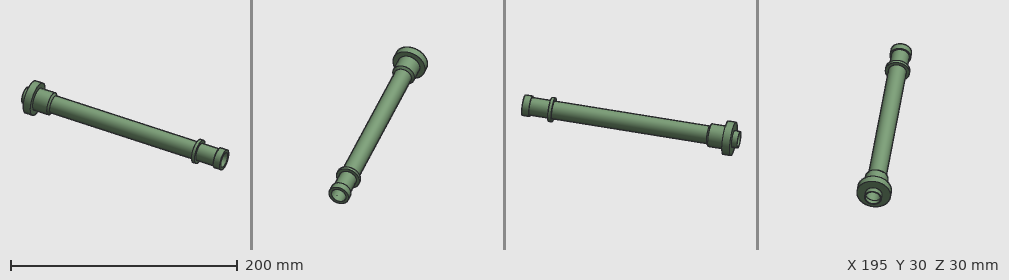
import cadquery as cq

length = 195.0
flange_start = 5.0
flange_end = 12.0
hub_end = 26.0
taper_end = 27.7
collar_start = 168.0
collar_end = 171.0
end_band_start = 188.5

spigot_diameter = 15.0
flange_diameter = 30.0
hub_diameter = 20.5
tube_diameter = 16.0
collar_diameter = 21.6
end_band_diameter = 18.5
bore_diameter = 13.6


def cylinder(start, end, diameter):
    """Solid cylinder on the X axis between two axial positions."""
    return cq.Workplane("YZ", origin=(start, 0, 0)).circle(diameter / 2).extrude(end - start)


def hub_taper():
    """Cone that blends the hub down to the tube."""
    return (
        cq.Workplane("YZ", origin=(hub_end, 0, 0))
        .circle(hub_diameter / 2)
        .workplane(offset=taper_end - hub_end)
        .circle(tube_diameter / 2)
        .loft(ruled=True)
    )


body = cylinder(0, flange_start, spigot_diameter)
for start, end, diameter in (
    (flange_start, flange_end, flange_diameter),
    (flange_end, hub_end, hub_diameter),
    (hub_end, length, tube_diameter),
    (collar_start, collar_end, collar_diameter),
    (end_band_start, length, end_band_diameter),
):
    body = body.union(cylinder(start, end, diameter))
body = body.union(hub_taper())

bored = body.cut(cylinder(0, length, bore_diameter))

result = bored.translate((-length / 2, 0, 0))